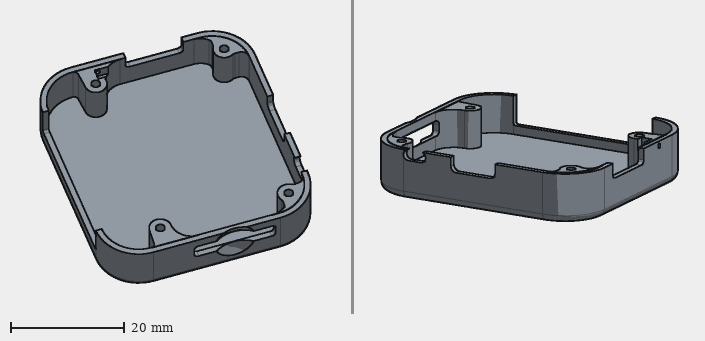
import cadquery as cq

length = 44.4
width = 39.7
height = 9.05
corner_radius = 8.0
base_edge_radius = 1.4
wall = 1.1
floor_thickness = 2.0

inner_length = length - 2 * wall
inner_width = width - 2 * wall
inner_corner_radius = corner_radius - wall
inner_wall_x = inner_length / 2
mid_wall_x = (length - wall) / 2
mid_wall_y = (width - wall) / 2
flat_half_length = length / 2 - corner_radius

boss_x = 17.3
back_boss_y = 15.15
front_boss_y = -8.88
boss_diameter = 4.0
boss_radius = boss_diameter / 2
boss_top = 8.95
boss_bottom = floor_thickness / 2
screw_hole_diameter = 1.6
back_block_margin = 1.6
back_blend_diameter = 2.8
back_sweep_start_y = 10.75
crease_radius = 0.8
sweep_radius = inner_wall_x - boss_x
front_web_drop = 0.25
front_blend_radius = 0.8

notch_x_min = -20.25
notch_x_max = -18.2
notch_y_min = -8.08
notch_y_max = -3.55
notch_bottom = 7.05
side_hole_diameter = 0.8
side_hole_y = -7.45
side_hole_depth_below_rim = 0.9

front_opening_depth = 5.4
front_opening_radius = 0.45
back_opening_width = 9.05
back_opening_depth = 2.7
back_opening_radius = 1.1
back_slot_x = 11.95
back_slot_width = 4.53
back_slot_height = 2.0
back_slot_depth = 1.9
side_openings_y = 3.4
left_opening_width = 10.85
left_opening_depth = 2.85
left_opening_radius = 0.8
window_width = 15.25
window_height = 2.8
window_bottom = 4.53
window_corner_radius = 0.8
scoop_radius = 6.3
scoop_offset = 5.05

cut_reach = 3 * wall


def rounded_block(size_x, size_y, size_z, radius):
    """Block standing on Z = 0 with rounded vertical edges."""
    block = cq.Workplane("XY").box(size_x, size_y, size_z, centered=(True, True, False))
    return block.edges("|Z").fillet(radius)


def rounded_cutter(opening_width, opening_height, radius):
    """Cutter along Y, with its rounded profile in XZ centred on the origin."""
    cutter = cq.Workplane("XY").box(opening_width, cut_reach, opening_height)
    return cutter.edges("|Y").fillet(radius)


def rim_opening(opening_width, depth, radius):
    """Cutter along Y for an opening that is open at the rim and rounded below."""
    cutter = rounded_cutter(opening_width, 2 * depth, radius)
    return cutter.translate((0, 0, height))


boss_plane = cq.Workplane("XY").workplane(offset=boss_bottom)


def boss_prism(outline):
    """Raise a closed outline from inside the floor to the top of the bosses."""
    return outline.extrude(boss_top - boss_bottom)


def boss_post(y):
    """Round post of a right-hand boss, before its screw hole."""
    return boss_prism(boss_plane.center(boss_x, y).circle(boss_radius))


def blend_corners(boss, places, radius):
    """Fillet the vertical boss edges that stand at the given XY places."""
    for x, y in places:
        edge = cq.selectors.NearestToPointSelector((x, y, (boss_bottom + boss_top) / 2))
        boss = boss.edges(edge).fillet(radius)
    return boss


def back_right_boss():
    """Post joined to an L-shaped block that fills the corner and sweeps into both walls."""
    block_x = boss_x - back_block_margin
    block_y = back_boss_y - back_block_margin
    back_wall_y = inner_width / 2
    blend = back_blend_diameter / 2
    sweep_rise = block_y - back_sweep_start_y
    corner_x = boss_x + (sweep_radius**2 - sweep_rise**2) ** 0.5
    outline = (
        boss_plane.moveTo(block_x, back_boss_y)
        .lineTo(boss_x, back_boss_y)
        .lineTo(boss_x, block_y)
        .lineTo(corner_x, block_y)
        .radiusArc((inner_wall_x, back_sweep_start_y), sweep_radius)
        .lineTo(mid_wall_x, back_sweep_start_y)
        .lineTo(mid_wall_x, mid_wall_y)
        .lineTo(block_x - blend, mid_wall_y)
        .lineTo(block_x - blend, back_wall_y)
        .radiusArc((block_x, back_wall_y - blend), blend)
        .close()
    )
    boss = boss_prism(outline).union(boss_post(back_boss_y))
    crossing = (boss_radius**2 - back_block_margin**2) ** 0.5
    corners = [
        (block_x, back_boss_y + crossing),
        (boss_x + crossing, block_y),
        (corner_x, block_y),
    ]
    return blend_corners(boss, corners, crease_radius)


def front_right_boss():
    """Post joined to the side wall by a web with a wide concave back face."""
    back_y = front_boss_y + boss_radius
    front_y = front_boss_y - boss_radius
    web_end_y = front_y - front_web_drop
    foot_y = web_end_y - 2 * front_blend_radius
    outline = (
        boss_plane.moveTo(boss_x, front_y)
        .lineTo(boss_x, back_y)
        .radiusArc((inner_wall_x, back_y + sweep_radius), -sweep_radius)
        .lineTo(mid_wall_x, back_y + sweep_radius)
        .lineTo(mid_wall_x, foot_y)
        .lineTo(inner_wall_x, foot_y)
        .lineTo(inner_wall_x, web_end_y)
        .close()
    )
    boss = boss_prism(outline).union(boss_post(front_boss_y))
    return blend_corners(boss, [(inner_wall_x, web_end_y)], front_blend_radius)


shell = rounded_block(length, width, height, corner_radius)
shell = shell.faces("<Z").edges().fillet(base_edge_radius)
cavity = rounded_block(inner_length, inner_width, height, inner_corner_radius)
body = shell.cut(cavity.translate((0, 0, floor_thickness)))

right_bosses = back_right_boss().union(front_right_boss())
outline_limit = rounded_block(2 * mid_wall_x, 2 * mid_wall_y, height, corner_radius - wall / 2)
right_bosses = right_bosses.intersect(outline_limit)
body = body.union(right_bosses).union(right_bosses.mirror("YZ"))

hole_places = [(side * boss_x, y) for side in (-1, 1) for y in (back_boss_y, front_boss_y)]
screw_holes = cq.Workplane("XY").pushPoints(hole_places).circle(screw_hole_diameter / 2).extrude(height)
body = body.cut(screw_holes)

notch = cq.Workplane("XY").box(
    notch_x_max - notch_x_min, notch_y_max - notch_y_min, height, centered=False
)
body = body.cut(notch.translate((notch_x_min, notch_y_min, notch_bottom)))
side_hole = (
    cq.Workplane("YZ", origin=(-length / 2, 0, 0))
    .center(side_hole_y, height - side_hole_depth_below_rim)
    .circle(side_hole_diameter / 2)
    .extrude(notch_x_max + length / 2)
)
body = body.cut(side_hole)

front_opening = rim_opening(2 * flat_half_length, front_opening_depth, front_opening_radius)
body = body.cut(front_opening.translate((0, -width / 2, 0)))

back_opening = rim_opening(back_opening_width, back_opening_depth, back_opening_radius)
body = body.cut(back_opening.translate((0, width / 2, 0)))
back_slot = (
    cq.Workplane("XZ", origin=(back_slot_x, width / 2, height - back_slot_depth + back_slot_height / 2))
    .slot2D(back_slot_width, back_slot_height)
    .extrude(cut_reach / 2, both=True)
)
body = body.cut(back_slot)


def turned_to_side(cutter, x):
    """Turn a cutter from the Y direction to X and set it into a side wall."""
    return cutter.rotate((0, 0, 0), (0, 0, 1), 90).translate((x, side_openings_y, 0))


left_opening = rim_opening(left_opening_width, left_opening_depth, left_opening_radius)
body = body.cut(turned_to_side(left_opening, -length / 2))

window_z = window_bottom + window_height / 2
window = rounded_cutter(window_width, window_height, window_corner_radius).translate((0, 0, window_z))
body = body.cut(turned_to_side(window, length / 2))
scoop = cq.Workplane("XY").sphere(scoop_radius)
body = body.cut(scoop.translate((length / 2 + scoop_offset, side_openings_y, window_z)))

result = body